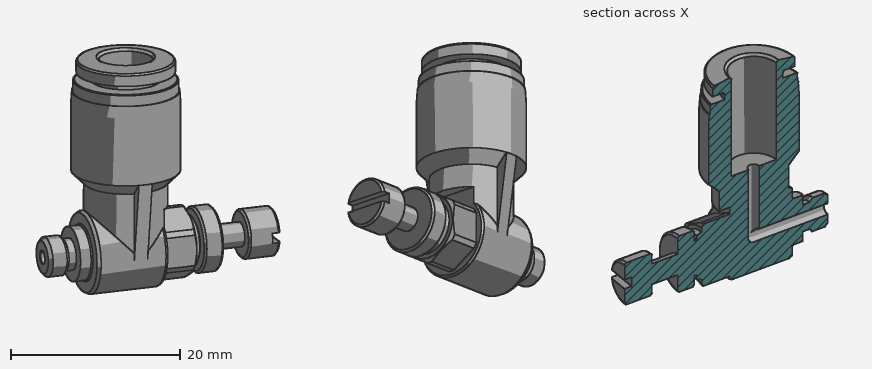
import cadquery as cq


body_radius = 5.0
body_back = 3.45
body_front = -5.5
back_bevel = (0.17, 0.3)
front_bevel = (0.23, 0.45)
collar_radius = 6.6 / 2
collar_front = -7.0
collar_flare = 0.17
groove_radius = 3.87 / 2
groove_front = -7.95
tip_radius = 4.83 / 2
tip_front = -10.6
tip_bevel = 0.45

hex_flats = 8.0
hex_corner_radius = 4.42
hex_back = 7.5
hex_end_radius = 3.9
hex_bevel_length = 0.3
cone_base_radius = 3.38
cone_top_radius = 3.1
cone_back = 8.18
spacer_radius = 5.0 / 2
lock_nut_front = 8.5
lock_nut_back = 10.95
lock_nut_radius = 8.0 / 2
stem_radius = 3.0 / 2
knob_front = 14.52
knob_back = 18.5
knob_radius = 6.0 / 2
edge_bevel = 0.25
slot_width = 1.22
slot_depth = 1.02

neck_radius = body_radius
neck_back_bottom = 5.33
neck_top = 8.2
socket_radius = 13.0 / 2
socket_bottom = neck_top + socket_radius - neck_radius
taper_bottom = 18.07
taper_top = 19.53
taper_top_radius = 6.4
ring_bottom_radius = 6.31
ring_top_radius = 12.5 / 2
ring_top = 20.9
ring_bevel = (0.17, 0.1)
sleeve_radius = 8.35 / 2
sleeve_flare = 0.17
sleeve_flare_height = 0.35
flange_radius = 11.8 / 2
flange_bottom = 21.85
flange_side_top = 23.13
flange_shoulder = (5.7, 23.37)
top = 23.7

bore_radius = 6.35 / 2
mouth_bevel = 0.32
bore_floor = socket_bottom
passage_radius = 1.5 / 2
outlet_bevel = 0.1
rib_thickness = 1.7


def turned_on_y(profile):
    """Revolve a (radius, y) outline about the Y axis."""
    return cq.Workplane("XY").polyline(profile).close().revolve(360, (0, 0), (0, 1))


def bevelled_disc(radius, front, back, bevel):
    return turned_on_y([
        (0, front),
        (radius - bevel, front),
        (radius, front + bevel),
        (radius, back - bevel),
        (radius - bevel, back),
        (0, back),
    ])


def make_valve_body():
    return turned_on_y([
        (0, body_back),
        (body_radius - back_bevel[0], body_back),
        (body_radius, body_back - back_bevel[1]),
        (body_radius, body_front + front_bevel[1]),
        (body_radius - front_bevel[0], body_front),
        (collar_radius + collar_flare, body_front),
        (collar_radius, body_front - collar_flare),
        (collar_radius, collar_front),
        (groove_radius, collar_front),
        (groove_radius, groove_front),
        (tip_radius, groove_front - tip_bevel),
        (tip_radius, tip_front + tip_bevel),
        (tip_radius - tip_bevel, tip_front),
        (0, tip_front),
    ])


def make_hexagon():
    """Hexagon with two flats facing +X and -X, its corners and far end turned down."""
    prism = (
        cq.Workplane("XZ", origin=(0, body_back, 0))
        .polygon(6, hex_flats, circumscribed=True)
        .extrude(body_back - hex_back)
    )
    envelope = turned_on_y([
        (0, body_back),
        (hex_corner_radius, body_back),
        (hex_corner_radius, hex_back - hex_bevel_length),
        (hex_end_radius, hex_back),
        (0, hex_back),
    ])
    return prism.intersect(envelope)


def make_adjusting_screw():
    core = turned_on_y([
        (0, hex_back),
        (cone_base_radius, hex_back),
        (cone_top_radius, cone_back),
        (spacer_radius, cone_back),
        (spacer_radius, lock_nut_front),
        (stem_radius, lock_nut_front),
        (stem_radius, knob_front),
        (0, knob_front),
    ])
    lock_nut = bevelled_disc(lock_nut_radius, lock_nut_front, lock_nut_back, edge_bevel)
    knob = bevelled_disc(knob_radius, knob_front, knob_back, edge_bevel)
    slot = cq.Workplane("XY").box(2 * knob_radius, 2 * slot_depth, slot_width)
    knob = knob.cut(slot.translate((0, knob_back, 0)))
    return core.union(lock_nut).union(knob)


def make_neck():
    """Round neck from the valve axis upwards, notched above the hexagon."""
    neck = cq.Workplane("XY").circle(neck_radius).extrude(neck_top)
    notch = (
        cq.Workplane("XY", origin=(0, body_back, 0))
        .rect(2 * neck_radius, 2 * neck_radius)
        .extrude(neck_back_bottom)
        .translate((0, neck_radius, 0))
    )
    return neck.cut(notch)


def make_socket():
    return (
        cq.Workplane("XZ")
        .polyline([
            (0, neck_top),
            (neck_radius, neck_top),
            (socket_radius, socket_bottom),
            (socket_radius, taper_bottom),
            (taper_top_radius, taper_top),
            (ring_bottom_radius, taper_top),
            (ring_top_radius, ring_top - ring_bevel[1]),
            (ring_top_radius - ring_bevel[0], ring_top),
            (sleeve_radius, ring_top),
            (sleeve_radius, flange_bottom - sleeve_flare_height),
            (sleeve_radius + sleeve_flare, flange_bottom),
            (flange_radius, flange_bottom),
            (flange_radius, flange_side_top),
            flange_shoulder,
            (bore_radius + mouth_bevel, top),
            (0, top),
        ])
        .close()
        .revolve(360, (0, 0), (0, 1))
    )


def make_ribs():
    """One plate forms the two side ribs, tapering from the socket to the valve axis."""
    return (
        cq.Workplane("XZ")
        .polyline([
            (-body_radius, 0),
            (body_radius, 0),
            (socket_radius, socket_bottom),
            (-socket_radius, socket_bottom),
        ])
        .close()
        .extrude(rib_thickness / 2, both=True)
    )


def make_openings():
    """Tube bore with a bevelled mouth, and the passage turning from it to the tip."""
    bore = (
        cq.Workplane("XZ")
        .polyline([
            (0, bore_floor),
            (bore_radius, bore_floor),
            (bore_radius, top - mouth_bevel),
            (bore_radius + mouth_bevel, top),
            (0, top),
        ])
        .close()
        .revolve(360, (0, 0), (0, 1))
    )
    down = cq.Workplane("XY").circle(passage_radius).extrude(bore_floor)
    forward = turned_on_y([
        (0, 0),
        (passage_radius, 0),
        (passage_radius, tip_front + outlet_bevel),
        (passage_radius + outlet_bevel, tip_front),
        (0, tip_front),
    ])
    elbow = cq.Workplane("XY").sphere(passage_radius)
    return bore.union(down).union(forward).union(elbow)


result = (
    make_valve_body()
    .union(make_hexagon())
    .union(make_adjusting_screw())
    .union(make_neck())
    .union(make_socket())
    .union(make_ribs())
    .cut(make_openings())
)